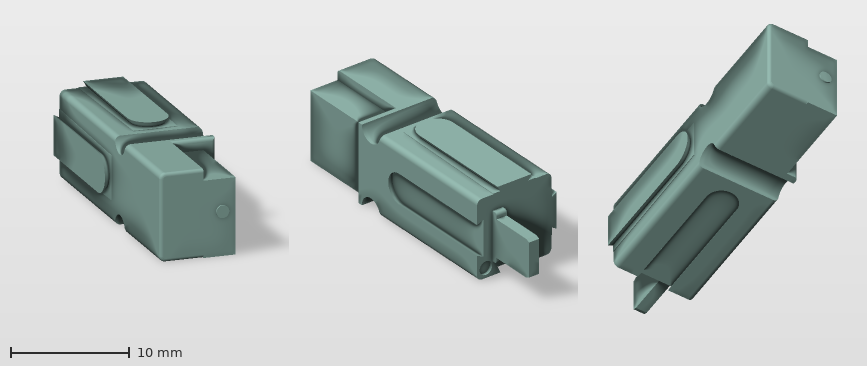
import cadquery as cq


LENGTH = 29.82
SQUARE = 7.9
MID = SQUARE / 2
BODY_START = 5.07
BODY_END = 29.67
EDGE_RADIUS = 0.5
END_RADIUS = 0.3

FLANGE_END = 21.77
FLANGE_RADIUS = 0.3
TONGUE_INSET = 1.07

CHANNEL_X = 19.83
CHANNEL_RADIUS = 1.25

DOVETAIL_TIP = 1.8
DOVETAIL_ROOT = 1.5
DOVETAIL_END = 17.7
PAD_HEIGHT = 0.05
BODY_NEAR = PAD_HEIGHT
BODY_TOP = SQUARE - PAD_HEIGHT
PAD_END = 17.9
PAD_HALF_START = 2.25
PAD_HALF_END = 1.97
KEY_HEIGHT = 0.5
GROOVE_DEPTH = 0.65

BLADE_Y = 5.2
BLADE_THICKNESS = 1.07
BLADE_Z = 3.82
BLADE_WIDTH = 3.75
TIP_TAPER_LENGTH = 0.4
TIP_TAPER_DEPTH = 0.18
SHOULDER_START = 4.5
SHOULDER_WIDTH = 4.9
SHOULDER_RADIUS = 0.27

STUB_DIAMETER = 1.13
STUB_Y = 5.65
RECESS_DIAMETER = 1.3
RECESS_Y = 6.98
RECESS_Z = 0.95
RECESS_DEPTH = 0.3


def block(x, y, z):
    """Box spanning the given (low, high) pair on each axis."""
    size = (x[1] - x[0], y[1] - y[0], z[1] - z[0])
    return cq.Workplane("XY").box(*size, centered=False).translate((x[0], y[0], z[0]))


def quarter_turn(feature):
    """Carry a feature from the top to the -Y face, or from the bottom to the +Y face."""
    return feature.rotate((0, MID, MID), (1, MID, MID), 90)


def dovetail(root_z, tip_z):
    """Round-ended dovetail between its narrow root and its wide tip."""
    straight_end = DOVETAIL_END - DOVETAIL_TIP
    height = tip_z - root_z
    bar = (
        cq.Workplane("YZ", origin=(BODY_START, MID, root_z))
        .polyline([
            (-DOVETAIL_ROOT, 0),
            (DOVETAIL_ROOT, 0),
            (DOVETAIL_TIP, height),
            (-DOVETAIL_TIP, height),
        ])
        .close()
        .extrude(straight_end - BODY_START)
    )
    cone = cq.Solid.makeCone(
        DOVETAIL_ROOT, DOVETAIL_TIP, height, cq.Vector(straight_end, MID, root_z), cq.Vector(0, 0, 1)
    )
    return bar.union(cq.Workplane(obj=cone))


def make_rear():
    """Near-square rear part, rounded along its length."""
    rear = block((BODY_START, CHANNEL_X), (BODY_NEAR, SQUARE), (0, BODY_TOP))
    return rear.edges("|X").fillet(EDGE_RADIUS)


def make_flange():
    """Square-cornered far half beyond the channels, its front edges rounded over."""
    flange = block((CHANNEL_X, FLANGE_END), (MID, SQUARE), (0, BODY_TOP))
    front_edges = flange.faces(">X").edges(">Y or >Z")
    return front_edges.fillet(FLANGE_RADIUS)


def make_nose():
    """Full-height near half and the lower, narrower tongue beside it."""
    near_half = block((CHANNEL_X, BODY_END), (BODY_NEAR, MID), (0, BODY_TOP))
    near_half = near_half.edges("|X and <Y").fillet(EDGE_RADIUS)
    near_half = near_half.faces(">X").edges("not(>Y)").fillet(END_RADIUS)
    tongue_side = SQUARE - TONGUE_INSET
    tongue = block((CHANNEL_X, BODY_END), (MID, tongue_side), (0, tongue_side))
    return near_half.union(tongue)


def make_channel(z):
    """Round bar across the housing, centred at the given height."""
    return cq.Workplane("XZ", origin=(CHANNEL_X, 0, z)).circle(CHANNEL_RADIUS).extrude(-SQUARE)


def make_key():
    """Dovetail key standing on a low tapered pad on the top face."""
    pad = (
        cq.Workplane("XY", origin=(0, MID, BODY_TOP))
        .polyline([
            (BODY_START, -PAD_HALF_START),
            (PAD_END, -PAD_HALF_END),
            (PAD_END, PAD_HALF_END),
            (BODY_START, PAD_HALF_START),
        ])
        .close()
        .extrude(PAD_HEIGHT)
    )
    return pad.union(dovetail(SQUARE, SQUARE + KEY_HEIGHT))


def make_contact():
    """Flat blade with a wider shoulder against the rear face."""
    half_width = BLADE_WIDTH / 2
    tip_half_width = half_width - TIP_TAPER_DEPTH
    blade = (
        cq.Workplane("XZ", origin=(0, BLADE_Y, BLADE_Z))
        .polyline([
            (0, -tip_half_width),
            (TIP_TAPER_LENGTH, -half_width),
            (BODY_START, -half_width),
            (BODY_START, half_width),
            (TIP_TAPER_LENGTH, half_width),
            (0, tip_half_width),
        ])
        .close()
        .extrude(-BLADE_THICKNESS)
    )
    y = (BLADE_Y, BLADE_Y + BLADE_THICKNESS)
    z = (BLADE_Z - SHOULDER_WIDTH / 2, BLADE_Z + SHOULDER_WIDTH / 2)
    shoulder = block((SHOULDER_START, BODY_START), y, z).edges("|Y and <X").fillet(SHOULDER_RADIUS)
    return blade.union(shoulder)


key = make_key()
groove = dovetail(0, GROOVE_DEPTH)
stub = cq.Workplane("YZ", origin=(BODY_END, STUB_Y, MID)).circle(STUB_DIAMETER / 2).extrude(LENGTH - BODY_END)
recess = (
    cq.Workplane("YZ", origin=(BODY_START, RECESS_Y, RECESS_Z)).circle(RECESS_DIAMETER / 2).extrude(RECESS_DEPTH)
)

result = make_rear().union(make_flange()).union(make_nose())
result = result.cut(make_channel(0)).cut(make_channel(BODY_TOP))
result = result.cut(groove).cut(quarter_turn(groove)).cut(recess)
result = result.union(key).union(quarter_turn(key)).union(make_contact()).union(stub)